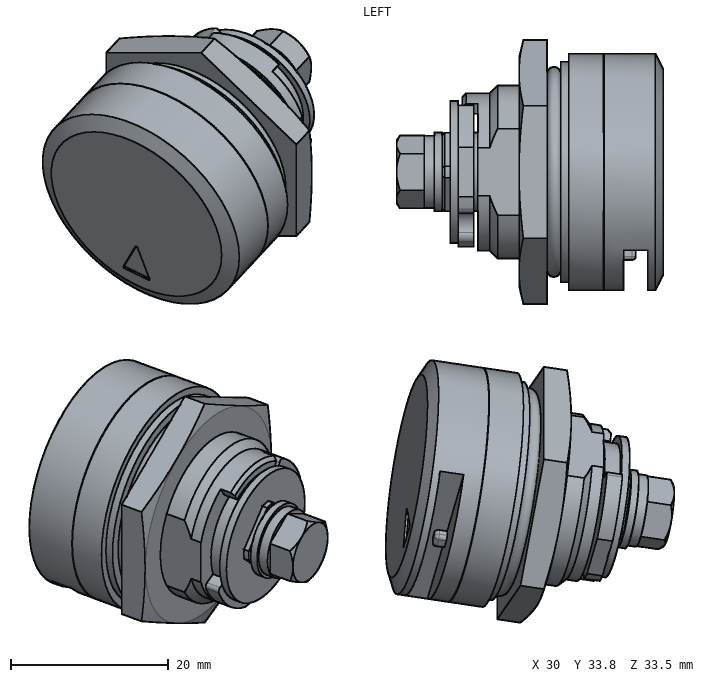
import cadquery as cq
import math


knob_diameter = 30.0
knob_depth = 7.5
knob_face_diameter = 26.0
knob_bevel_depth = 1.0
slot_front = 2.0
slot_width = 3.05
slot_floor = 9.95
peg_width = 2.03
peg_length = 1.55
peg_height = 1.2
peg_round = 0.5
arrow_tip = 5.6
arrow_base = 11.0
arrow_width = 4.2
arrow_corner = 0.2
arrow_depth = 0.3
shaft_diameter = 10.0
square_width = 8.0
square_chamfer = 0.3

flange_front = 7.57
flange_depth = 4.43
seat_diameter = 28.0
seat_depth = 1.0
barrel_diameter = 22.0
barrel_flats = 19.05
barrel_nose_diameter = 20.0
cone_front = 21.0
cone_depth = 1.0
barrel_back = 23.5
tab_inner_diameter = 17.0
tab_length = 2.0
tab_chamfer = 0.5
tab_start_angle = 60.0
tab_end_angle = 120.0

seal_thickness = 1.72
seal_outer_diameter = 26.65
nut_flats = 29.0
nut_thickness = 3.55
nut_chamfer_depth = 0.55

stop_disc_front = 24.0
stop_disc_thickness = 2.0
stop_disc_flat = 9.5
stop_relief_diameter = 16.02
stop_start_angle = -20.0
stop_corner_round = 0.5
notch_angle = 225.0
notch_radius = 2.0
notch_corner_round = 1.0
washer_diameter = 18.0
washer_thickness = 1.0
shaft_overhang = 1.0

screw_washer_diameter = 10.0
screw_washer_thickness = 0.98
screw_collar_diameter = 9.2
screw_collar_thickness = 1.32
head_flats = 8.0
head_chamfer_depth = 0.45
overall_length = 33.8

flange_back = flange_front + flange_depth
seat_back = flange_back + seat_depth
nut_front = seat_back + seal_thickness
washer_front = stop_disc_front + stop_disc_thickness
shaft_end = washer_front + washer_thickness + shaft_overhang
collar_front = shaft_end + screw_washer_thickness
head_front = collar_front + screw_collar_thickness
stop_disc_diameter = barrel_nose_diameter


def cross_section(y):
    """Workplane across the axis at y, with local axes X and Z; a negative extrusion runs toward +Y."""
    return cq.Workplane("XZ", origin=(0, y, 0))


def disc(diameter, front, back):
    return cross_section(front).circle(diameter / 2).extrude(front - back)


def turned(profile):
    """Solid of revolution about the axis from (radius, y) points."""
    return cq.Workplane("XY").polyline(profile).close().revolve(360, (0, 0, 0), (0, 1, 0))


def polar(radius, angle):
    """Point across the axis, at an angle in degrees from +X toward +Z."""
    return (radius * math.cos(math.radians(angle)), radius * math.sin(math.radians(angle)))


def sector(start_angle, end_angle, reach, front, back):
    """Wedge with its tip on the axis, extending past the given reach."""
    middle_angle = (start_angle + end_angle) / 2
    far = 2 * reach
    corners = [(0, 0), polar(far, start_angle), polar(far, middle_angle), polar(far, end_angle)]
    return cross_section(front).polyline(corners).close().extrude(front - back)


def slab(half_width, front, back):
    """Block between two planes at equal distances from the axis along X."""
    height = 2 * knob_diameter
    return cross_section(front).rect(2 * half_width, height).extrude(front - back)


def hexagon(flats, front, back, chamfer_depth):
    """Hexagonal prism with corners at +Z and -Z, and its back corners turned down to the flats."""
    corner_radius = flats / math.sqrt(3)
    prism = cross_section(front).polygon(6, 2 * corner_radius).extrude(front - back)
    prism = prism.rotate((0, 0, 0), (0, 1, 0), 30)
    envelope = turned([
        (0, front),
        (corner_radius, front),
        (corner_radius, back - chamfer_depth),
        (flats / 2, back),
        (0, back),
    ])
    return prism.intersect(envelope)


def square_bar(front, back):
    """Square bar on its corner, with the corners turned down to the shaft diameter."""
    square = cross_section(front).rect(square_width, square_width).extrude(front - back)
    square = square.rotate((0, 0, 0), (0, 1, 0), 45)
    return square.intersect(disc(shaft_diameter, front, back))


def round_edge(body, point, front, radius):
    """Round the edge along Y that passes nearest to a point of the outline."""
    middle = (point[0], front + stop_disc_thickness / 2, point[1])
    nearest = cq.selectors.NearestToPointSelector(middle)
    return body.edges("|Y").edges(nearest).fillet(radius)


def make_peg():
    """Rounded peg on the rear wall and floor of the knob slot."""
    slot_back = slot_front + slot_width
    root = 2 * peg_round
    peg = cq.Workplane("XY").box(peg_width, peg_length + root, peg_height + root)
    peg = peg.edges().fillet(peg_round)
    return peg.translate((
        0,
        slot_back + (root - peg_length) / 2,
        -slot_floor + (root - peg_height) / 2,
    ))


def make_knob():
    knob = turned([
        (0, 0),
        (knob_face_diameter / 2, 0),
        (knob_diameter / 2, knob_bevel_depth),
        (knob_diameter / 2, knob_depth),
        (0, knob_depth),
    ])
    slot = cq.Workplane("XY").box(2 * knob_diameter, slot_width, knob_diameter, centered=(True, False, False))
    knob = knob.cut(slot.translate((0, slot_front, -slot_floor - knob_diameter)))
    knob = knob.union(make_peg())

    arrow = (
        cross_section(0)
        .polyline([(0, -arrow_tip), (arrow_width / 2, -arrow_base), (-arrow_width / 2, -arrow_base)])
        .close()
        .extrude(-arrow_depth)
        .edges("|Y")
        .fillet(arrow_corner)
    )
    knob = knob.cut(arrow)

    square_end = square_bar(stop_disc_front, shaft_end).faces(">Y").chamfer(square_chamfer)
    return knob.union(disc(shaft_diameter, knob_depth, stop_disc_front)).union(square_end)


def make_stop_tab():
    """Curved tab behind the barrel that limits the turn of the stop disc."""
    outer_radius = barrel_nose_diameter / 2
    inner_radius = tab_inner_diameter / 2
    tip = barrel_back + tab_length
    ring = turned([
        (inner_radius, barrel_back),
        (outer_radius, barrel_back),
        (outer_radius, tip - tab_chamfer),
        (outer_radius - tab_chamfer, tip),
        (inner_radius, tip),
    ])
    return ring.intersect(sector(tab_start_angle, tab_end_angle, outer_radius, barrel_back, tip))


def make_housing():
    barrel_radius = barrel_diameter / 2
    nose_radius = barrel_nose_diameter / 2
    barrel = turned([
        (0, seat_back),
        (barrel_radius, seat_back),
        (barrel_radius, cone_front),
        (nose_radius, cone_front + cone_depth),
        (nose_radius, barrel_back),
        (0, barrel_back),
    ])
    barrel = barrel.intersect(slab(barrel_flats / 2, seat_back, barrel_back))
    flange = disc(knob_diameter, flange_front, flange_back)
    seat = disc(seat_diameter, flange_back, seat_back)
    bore = disc(shaft_diameter, flange_front, barrel_back)
    return flange.union(seat).union(barrel).cut(bore).union(make_stop_tab())


def make_seal_ring():
    section_radius = seal_thickness / 2
    ring_radius = seal_outer_diameter / 2 - section_radius
    section = cq.Workplane("XY").center(ring_radius, seat_back + section_radius).circle(section_radius)
    return section.revolve(360, (-ring_radius, 0, 0), (-ring_radius, 1, 0))


def make_nut():
    nut_back = nut_front + nut_thickness
    blank = hexagon(nut_flats, nut_front, nut_back, nut_chamfer_depth)
    return blank.cut(disc(barrel_diameter, nut_front, nut_back))


def make_stop_disc():
    front = stop_disc_front
    back = washer_front
    radius = stop_disc_diameter / 2
    relief_radius = stop_relief_diameter / 2

    plate = disc(stop_disc_diameter, front, back)
    flats = cross_section(front).rect(stop_disc_diameter, stop_disc_diameter, centered=False)
    plate = plate.intersect(flats.extrude(front - back).translate((-stop_disc_flat, 0, -stop_disc_flat)))

    relief = sector(stop_start_angle, tab_end_angle, radius, front, back)
    plate = plate.cut(relief.cut(disc(2 * relief_radius, front, back)))
    for angle in (stop_start_angle, tab_end_angle):
        plate = round_edge(plate, polar(radius, angle), front, stop_corner_round)

    notch_center = polar(radius, notch_angle)
    notch = cross_section(front).center(*notch_center).circle(notch_radius).extrude(front - back)
    plate = plate.cut(notch)
    notch_half_angle = 2 * math.degrees(math.asin(notch_radius / (2 * radius)))
    for angle in (notch_angle - notch_half_angle, notch_angle + notch_half_angle):
        plate = round_edge(plate, polar(radius, angle), front, notch_corner_round)

    return plate.cut(square_bar(front, back))


def make_washer():
    back = washer_front + washer_thickness
    return disc(washer_diameter, washer_front, back).cut(square_bar(washer_front, back))


def make_screw():
    """Hexagon head with its collar and washer."""
    washer = disc(screw_washer_diameter, shaft_end, collar_front)
    collar = disc(screw_collar_diameter, collar_front, head_front)
    head = hexagon(head_flats, head_front, overall_length, head_chamfer_depth)
    return washer.union(collar).union(head)


knob = make_knob()
housing = make_housing()
seal_ring = make_seal_ring()
nut = make_nut()
stop_disc = make_stop_disc()
washer = make_washer()
screw = make_screw()

result = cq.Compound.makeCompound([
    knob.val(),
    housing.val(),
    seal_ring.val(),
    nut.val(),
    stop_disc.val(),
    washer.val(),
    screw.val(),
])